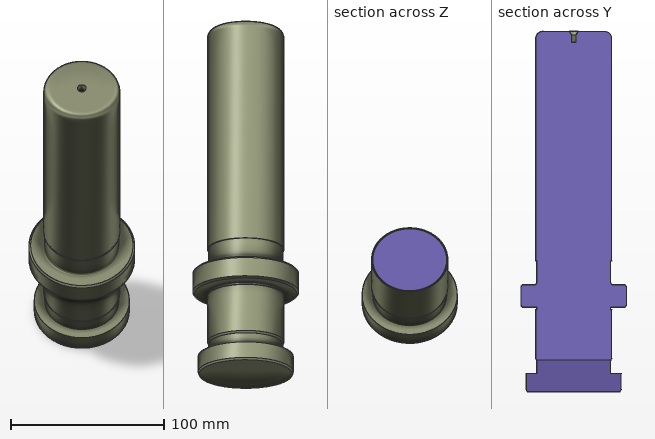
import cadquery as cq
import math

pin_bottom = 20.5
pin_top = 235.0
pin_radius = 25.0
relief_radius = 24.2
nose_radius = 5.0
relief_top = 85.3

pin_end_chamfer_height = 1.5
pin_end_chamfer_width = 0.7

collar_radius = 34.5
collar_bottom = 55.0
collar_top = 69.8
collar_edge = 1.2
collar_fillet = 1.6

undercut_height = 1.5

countersink_radius = 2.8
countersink_angle = math.radians(60)
centre_hole_radius = 1.5
centre_hole_depth = 7.0

disc_radius = 31.0
disc_height = 12.0
disc_chamfer = 0.7
disc_chamfer_height = 1.5
neck_radius = relief_radius


def make_centre_hole():
    """Drilled hole with a conical countersink at the pin's top face."""
    cone_depth = (countersink_radius - centre_hole_radius) / math.tan(countersink_angle / 2)
    return (
        cq.Workplane("XZ")
        .moveTo(0, pin_top)
        .lineTo(countersink_radius, pin_top)
        .lineTo(centre_hole_radius, pin_top - cone_depth)
        .lineTo(centre_hole_radius, pin_top - centre_hole_depth)
        .lineTo(0, pin_top - centre_hole_depth)
        .close()
        .revolve(360, (0, 0, 0), (0, 1, 0))
    )


def make_guide_pin():
    """Stepped pin with a collar, a relief on each side of it and a rounded nose."""
    profile = (
        cq.Workplane("XZ")
        .moveTo(0, pin_bottom)
        .lineTo(pin_radius - pin_end_chamfer_width, pin_bottom)
        .lineTo(pin_radius, pin_bottom + pin_end_chamfer_height)
        .lineTo(pin_radius, collar_bottom - undercut_height)
        .lineTo(relief_radius, collar_bottom - undercut_height)
        .lineTo(relief_radius, collar_bottom)
        .lineTo(collar_radius - collar_edge, collar_bottom)
        .lineTo(collar_radius, collar_bottom + collar_edge)
        .lineTo(collar_radius, collar_top - collar_edge)
        .lineTo(collar_radius - collar_edge, collar_top)
        .lineTo(relief_radius + collar_fillet, collar_top)
        .radiusArc((relief_radius, collar_top + collar_fillet), collar_fillet)
        .lineTo(relief_radius, relief_top)
        .lineTo(pin_radius, relief_top)
        .lineTo(pin_radius, pin_top - nose_radius)
        .radiusArc((pin_radius - nose_radius, pin_top), -nose_radius)
        .lineTo(0, pin_top)
        .close()
    )
    return profile.revolve(360, (0, 0, 0), (0, 1, 0)).cut(make_centre_hole())


def make_clamp_disc():
    """Flat disc with a chamfered lower rim and a neck reaching the pin's end face."""
    profile = (
        cq.Workplane("XZ")
        .lineTo(disc_radius - disc_chamfer, 0)
        .lineTo(disc_radius, disc_chamfer_height)
        .lineTo(disc_radius, disc_height)
        .lineTo(neck_radius, disc_height)
        .lineTo(neck_radius, pin_bottom)
        .lineTo(0, pin_bottom)
        .close()
    )
    return profile.revolve(360, (0, 0, 0), (0, 1, 0))


guide_pin = make_guide_pin()
clamp_disc = make_clamp_disc()

result = cq.Compound.makeCompound([guide_pin.val(), clamp_disc.val()])